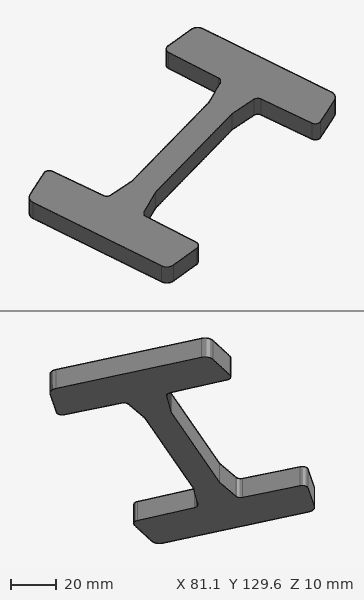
import cadquery as cq
import math

length = 129.6
thickness = 10.0

flange_outer_width = 74.8
side_angle = 10.0
inner_face_angle = 1.0
tip_inner_y = 44.3

web_width = 12.3
web_straight_length = 58.6
web_flare_angle = 12.3

outer_radius = 4.0
tip_radius = 2.6
root_radius = 2.5

outer_x = flange_outer_width / 2
outer_y = length / 2
tip_x = outer_x + (outer_y - tip_inner_y) * math.tan(math.radians(side_angle))
web_x = web_width / 2
flare_y = web_straight_length / 2

flare_slope = math.tan(math.radians(web_flare_angle))
inner_slope = math.tan(math.radians(inner_face_angle))
root_rise = tip_inner_y - flare_y - (tip_x - web_x) * inner_slope
root_y = flare_y + root_rise / (1 - flare_slope * inner_slope)
root_x = web_x + (root_y - flare_y) * flare_slope

quarter = [
    (outer_x, outer_y),
    (tip_x, tip_inner_y),
    (root_x, root_y),
    (web_x, flare_y),
]
right_half = quarter + [(x, -y) for x, y in reversed(quarter)]
outline = right_half + [(-x, y) for x, y in reversed(right_half)]

plate = cq.Workplane("XY").polyline(outline).close().extrude(thickness)


def round_corners(body, x, y, radius):
    """Round the four mirrored upright edges at (+-x, +-y)."""
    edges = cq.Workplane("XY")
    for sign_x in (1, -1):
        for sign_y in (1, -1):
            corner = (sign_x * x, sign_y * y, thickness / 2)
            edges = edges.add(body.edges(cq.selectors.NearestToPointSelector(corner)))
    return body.newObject([body.val().fillet(radius, edges.vals())])


plate = round_corners(plate, outer_x, outer_y, outer_radius)
plate = round_corners(plate, tip_x, tip_inner_y, tip_radius)
result = round_corners(plate, root_x, root_y, root_radius)